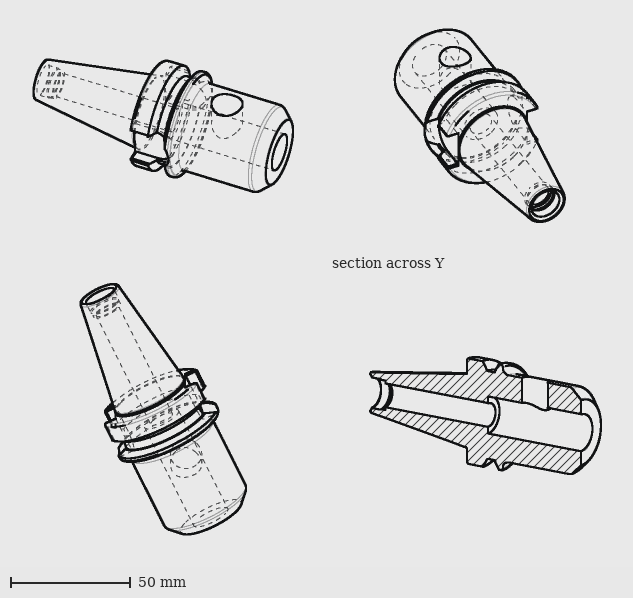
import cadquery as cq
import math

length = 108.7
body_radius = 19.0
nose_start = 102.9
nose_blend_end = 104.2
nose_blend_end_radius = 18.5
nose_chamfer_end = 108.4
nose_face_radius = 14.1
nose_edge_radius = 14.6
nose_blend_mid = (103.5, 18.87)

taper_large_radius = 31.9 / 2
taper_end = 48.5
taper_edge = 0.8
taper_edge_mid = (0.2, 8.7)
taper_edge_start_radius = 8.9
mouth_rim_radius = 8.2
neck_flare_start = 49.3
neck_flare_radius = 16.3

flange_radius = 46.0 / 2
flange_start = 49.8
flange_round = 1.1
flange_end = 58.1
groove_radius = 19.1
groove_start = 60.5
groove_end = 64.3
groove_lip_radius = 19.8
collar_start = 66.2
collar_round_start = 67.5
collar_end = 68.4
collar_fillet = 2.7
collar_rim_round = collar_end - collar_round_start

slot_floor = 16.1
slot_half_width = 8.0
slot_end_center = 60.0
slot_edge_chamfer = 0.7

through_diameter = 10.1
pilot_mouth_diameter = 16.1
pilot_diameter = 13.0
pilot_cone_depth = 0.9
pilot_depth = 5.4
step_diameter = 12.5
step_cone_end = 6.0
step_end = 7.8
tool_bore_diameter = 15.9
tool_bore_depth = 47.8
screw_diameter = 13.0
screw_x = 84.8


def turned_body():
    """Revolve the outer profile, given as (x, radius), about the X axis."""
    diagonal = math.sqrt(0.5)
    flange_round_mid = (
        flange_start + flange_round * (1 - diagonal),
        flange_radius - flange_round * (1 - diagonal),
    )
    rim_mid = (
        collar_round_start + collar_rim_round * diagonal,
        flange_radius - collar_rim_round * (1 - diagonal),
    )
    fillet_mid = (
        collar_end + collar_fillet * (1 - diagonal),
        body_radius + collar_fillet * (1 - diagonal),
    )
    profile = (
        cq.Workplane("XY")
        .lineTo(0, mouth_rim_radius)
        .threePointArc(taper_edge_mid, (taper_edge, taper_edge_start_radius))
        .lineTo(taper_end, taper_large_radius)
        .lineTo(neck_flare_start, taper_large_radius)
        .lineTo(flange_start, neck_flare_radius)
        .lineTo(flange_start, flange_radius - flange_round)
        .threePointArc(flange_round_mid, (flange_start + flange_round, flange_radius))
        .lineTo(flange_end, flange_radius)
        .lineTo(groove_start, groove_radius)
        .lineTo(groove_end, groove_radius)
        .lineTo(groove_end, groove_lip_radius)
        .lineTo(collar_start, flange_radius)
        .lineTo(collar_round_start, flange_radius)
        .threePointArc(rim_mid, (collar_end, flange_radius - collar_rim_round))
        .lineTo(collar_end, body_radius + collar_fillet)
        .threePointArc(fillet_mid, (collar_end + collar_fillet, body_radius))
        .lineTo(nose_start, body_radius)
        .threePointArc(nose_blend_mid, (nose_blend_end, nose_blend_end_radius))
        .lineTo(nose_chamfer_end, nose_edge_radius)
        .lineTo(length, nose_face_radius)
        .lineTo(length, 0)
        .close()
    )
    return profile.revolve(360, (0, 0, 0), (1, 0, 0))


def drive_slot(side):
    """Round-ended slot open toward the shank; side is -1 or +1 in Y."""
    return (
        cq.Workplane("XZ", origin=(0, side * slot_floor, 0))
        .moveTo(taper_end, -slot_half_width)
        .lineTo(slot_end_center, -slot_half_width)
        .threePointArc((slot_end_center + slot_half_width, 0), (slot_end_center, slot_half_width))
        .lineTo(taper_end, slot_half_width)
        .close()
        .extrude(-side * flange_radius)
    )


def slot_face_chamfer(side):
    """Chamfer of both slot walls where they meet the flange face."""
    opening = slot_half_width + slot_edge_chamfer
    return (
        cq.Workplane("XZ", origin=(0, side * slot_floor, 0))
        .moveTo(flange_start, -opening)
        .lineTo(flange_start + slot_edge_chamfer, -slot_half_width)
        .lineTo(flange_start + slot_edge_chamfer, slot_half_width)
        .lineTo(flange_start, opening)
        .close()
        .extrude(-side * flange_radius)
    )


def slot_rim_chamfer(side):
    """Chamfer of both slot walls where they meet the flange's cylindrical rim."""
    opening = slot_half_width + slot_edge_chamfer
    rim_y = math.sqrt(flange_radius**2 - opening**2)
    outside = rim_y + flange_radius
    flare = opening + flange_radius
    return (
        cq.Workplane("YZ", origin=(flange_start, 0, 0))
        .moveTo(side * (rim_y - slot_edge_chamfer), -slot_half_width)
        .lineTo(side * outside, -flare)
        .lineTo(side * outside, flare)
        .lineTo(side * (rim_y - slot_edge_chamfer), slot_half_width)
        .close()
        .extrude(flange_end - flange_start)
    )


def axial_bore():
    """Countersunk pilot and stepped bore in the shank, small through hole and front tool bore."""
    profile = (
        cq.Workplane("XY")
        .lineTo(0, pilot_mouth_diameter / 2)
        .lineTo(pilot_cone_depth, pilot_diameter / 2)
        .lineTo(pilot_depth, pilot_diameter / 2)
        .lineTo(step_cone_end, step_diameter / 2)
        .lineTo(step_end, step_diameter / 2)
        .lineTo(step_end, through_diameter / 2)
        .lineTo(length - tool_bore_depth, through_diameter / 2)
        .lineTo(length - tool_bore_depth, tool_bore_diameter / 2)
        .lineTo(length, tool_bore_diameter / 2)
        .lineTo(length, 0)
        .close()
    )
    return profile.revolve(360, (0, 0, 0), (1, 0, 0))


def screw_hole():
    """Clamping screw hole from the top into the tool bore."""
    return cq.Workplane("XY").center(screw_x, 0).circle(screw_diameter / 2).extrude(flange_radius)


result = turned_body()
for side in (-1, 1):
    result = result.cut(drive_slot(side)).cut(slot_face_chamfer(side)).cut(slot_rim_chamfer(side))
result = result.cut(axial_bore()).cut(screw_hole())